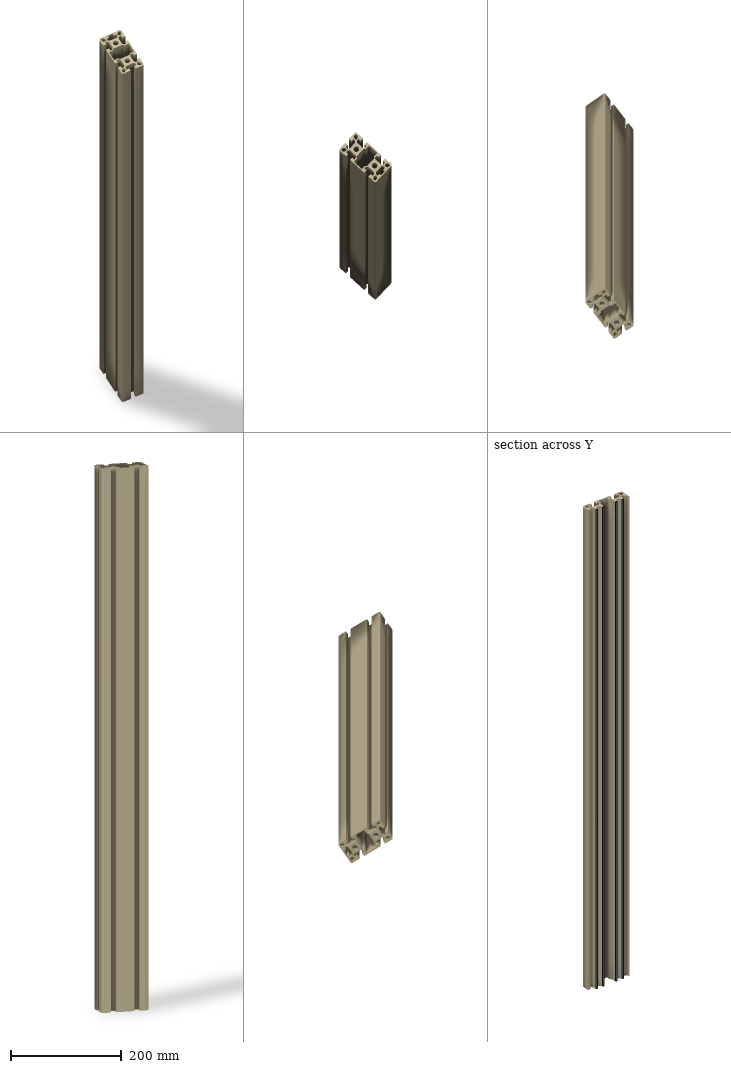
import cadquery as cq
length = 1000.0
module = 45.0
half_module = module / 2
width = 2 * module
depth = module
corner_radius = 2.86

core_hole_diameter = 10.2
core_half_width = 9.63

slot_mouth_width = 10.0
slot_inner_width = 20.2
slot_floor_width = 14.8
lip_thickness = 6.0
slot_side_height = 4.06
cover_wall = 1.75

corner_wall = 2.75
hollow_side_wall = 2.28
hollow_chamfer = 2.73

chamber_wall = 2.26
chamber_side_wall = 2.56
chamber_slope_start = 9.5
chamber_slope_end = 12.5


def prism(outline):
    """Full-length prism with the given closed outline."""
    return cq.Workplane("XY").polyline(outline).close().extrude(length)


def slot_cutter(core_x, angle, cover=0.0):
    """T-slot beside one core, turned about its axis; a cover leaves its mouth closed."""
    lip_inside = half_module - lip_thickness
    side_end = lip_inside - slot_side_height
    half_outline = [
        (slot_mouth_width / 2, half_module - cover),
        (slot_mouth_width / 2, lip_inside),
        (slot_inner_width / 2, lip_inside),
        (slot_inner_width / 2, side_end),
        (slot_floor_width / 2, core_half_width),
    ]
    mirrored = [(-x, y) for x, y in reversed(half_outline)]
    slot = prism(half_outline + mirrored)
    return slot.rotate((0, 0, 0), (0, 0, 1), angle).translate((core_x, 0, 0))


def corner_hollow(side_x, side_y):
    """Square hollow inside one outer corner, chamfered beside the lips of the two slots."""
    start = slot_inner_width / 2 + hollow_side_wall
    end = half_module - corner_wall
    outline = [
        (start, start),
        (end - hollow_chamfer, start),
        (end, start + hollow_chamfer),
        (end, end),
        (start + hollow_chamfer, end),
        (start, end - hollow_chamfer),
    ]
    return prism([(side_x * (half_module + x), side_y * y) for x, y in outline])


def middle_chamber():
    """Hollow between the two cores; sloped webs lead from the core sides to the slot sides."""
    wide_x = half_module - core_half_width
    narrow_x = half_module - slot_inner_width / 2 - chamber_side_wall
    quarter = [
        (wide_x, chamber_slope_start),
        (narrow_x, chamber_slope_end),
        (narrow_x, half_module - chamber_wall),
    ]
    upper_half = quarter + [(-x, y) for x, y in reversed(quarter)]
    lower_half = [(-x, -y) for x, y in upper_half]
    return prism(upper_half + lower_half)


profile = cq.Workplane("XY").rect(width, depth).extrude(length)
profile = profile.edges("|Z").fillet(corner_radius)

for side_x in (-1, 1):
    core_x = side_x * half_module
    core_hole = cq.Workplane("XY").center(core_x, 0).circle(core_hole_diameter / 2).extrude(length)
    profile = profile.cut(core_hole)
    for slot_angle in (0, 180):
        profile = profile.cut(slot_cutter(core_x, slot_angle))
    for side_y in (-1, 1):
        profile = profile.cut(corner_hollow(side_x, side_y))

profile = profile.cut(slot_cutter(half_module, -90))
profile = profile.cut(slot_cutter(-half_module, 90, cover_wall))

result = profile.cut(middle_chamber())